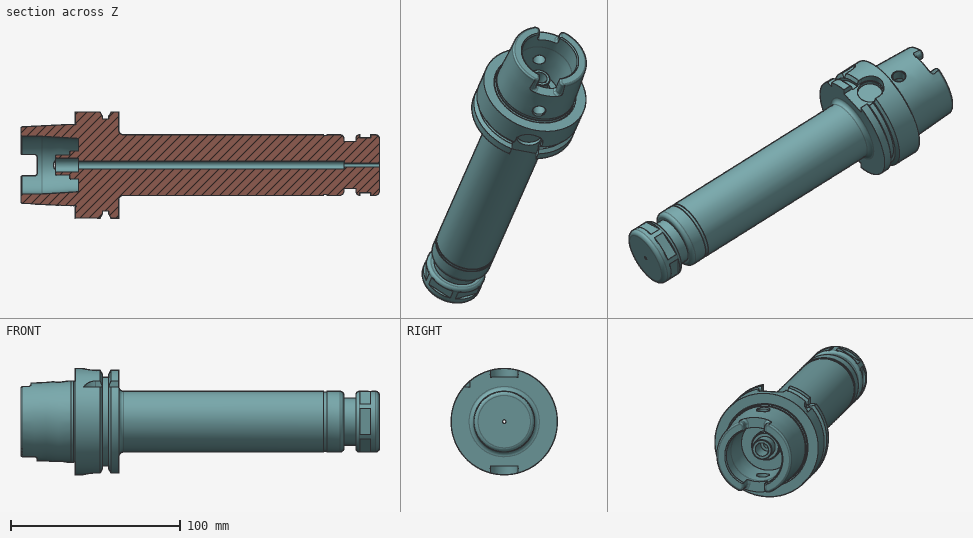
import cadquery as cq
import math


total_length = 212.0

taper_end_x = 29.5
flange_face_x = 32.0
shank_radius = 24.2
taper_ratio = 1 / 10
shank_mouth_radius = 22.7
mouth_rounding = 1.0
neck_relief_x = 31.0
neck_relief_radius = 23.7
face_relief_radius = 25.2
face_relief_depth = 0.6

flange_radius = 63.0 / 2
flange_end_x = 57.9
groove_center_x = 50.0
groove_mouth_width = 6.4
groove_floor_width = 3.5
groove_cone_radius = 29.0
groove_floor_radius = 27.3

shaft_radius = 36.0 / 2
flange_root_fillet = 2.8
band_x = 179.0
band_width = 2.0
band_radius = 17.5
shaft_end_x = 191.0
end_rounding = 2.5

nut_neck_radius = 28.0 / 2
nut_start_x = 198.0
nut_back_rounding = 2.1
nut_flat_count = 6
nut_flat_distance = 16.3
nut_flat_start_x = 200.3
nut_flat_width = 6.4

bore_radius = 17.0
bore_chamfer = 0.75
bore_straight_depth = 12.5
bore_floor_radius = 15.7
bore_floor_x = 34.0

collar_radius = 17.0 / 2
collar_chamfer = 0.53
collar_start_x = 28.8
tube_radius = 12.0 / 2
tube_chamfer = 0.5
tube_tip_x = 20.4
tube_bore_diameter = 8.0

passage_diameter = 4.5
outlet_diameter = 2.0

keyway_width = 12.5
keyway_depth_top = 6.0
keyway_depth_bottom = 9.5
keyway_root_z = 10.5
keyway_lip_z = 20.8
keyway_edge_radius = 2.1
keyway_floor_radius = 1.5

access_x = 23.1
access_diameter = 7.5
access_mouth_diameter = 8.7
access_inner_z = 13.8

slot_width = 16.3
slot_center_x = 44.7
slot_floor_z = 26.3
pocket_diameter = 14.8
pocket_depth = 2.3

notch_floor_z = 20.4
notch_wall_y = -20.4
notch_end_x = 44.0
notch_cutter_radius = 8.5


def revolve_about_x(profile):
    return profile.close().revolve(360, (0, 0, 0), (1, 0, 0))


def bar(x_start, x_end, radius):
    return cq.Workplane("YZ", origin=(x_start, 0, 0)).circle(radius).extrude(x_end - x_start)


def make_flange_and_shank():
    taper_radius = shank_mouth_radius + taper_end_x * taper_ratio / 2
    relief_bottom_radius = (neck_relief_radius + face_relief_radius) / 2
    mouth_half = groove_mouth_width / 2
    floor_half = groove_floor_width / 2
    return revolve_about_x(
        cq.Workplane("XY")
        .moveTo(0, 0)
        .lineTo(0, shank_mouth_radius)
        .lineTo(taper_end_x, taper_radius)
        .lineTo(taper_end_x, shank_radius)
        .lineTo(neck_relief_x, shank_radius)
        .lineTo(flange_face_x, neck_relief_radius)
        .lineTo(flange_face_x + face_relief_depth, relief_bottom_radius)
        .lineTo(flange_face_x, face_relief_radius)
        .lineTo(flange_face_x, flange_radius)
        .lineTo(groove_center_x - mouth_half, flange_radius)
        .lineTo(groove_center_x - floor_half, groove_cone_radius)
        .lineTo(groove_center_x - floor_half, groove_floor_radius)
        .lineTo(groove_center_x + floor_half, groove_floor_radius)
        .lineTo(groove_center_x + floor_half, groove_cone_radius)
        .lineTo(groove_center_x + mouth_half, flange_radius)
        .lineTo(flange_end_x, flange_radius)
        .lineTo(flange_end_x, 0)
    )


def make_shaft():
    root = flange_root_fillet
    shaft = revolve_about_x(
        cq.Workplane("XY")
        .moveTo(flange_end_x, 0)
        .lineTo(flange_end_x, shaft_radius + root)
        .radiusArc((flange_end_x + root, shaft_radius), -root)
        .lineTo(band_x, shaft_radius)
        .lineTo(band_x, band_radius)
        .lineTo(band_x + band_width, band_radius)
        .lineTo(band_x + band_width, shaft_radius)
        .lineTo(shaft_end_x, shaft_radius)
        .lineTo(shaft_end_x, 0)
    )
    return shaft.faces(">X").edges().fillet(end_rounding)


def make_nut():
    nut = bar(nut_start_x, total_length, shaft_radius)
    nut = nut.faces("<X").edges().fillet(nut_back_rounding)
    nut = nut.faces(">X").edges().fillet(end_rounding)
    hexagon_diameter = 2 * nut_flat_distance / math.cos(math.pi / nut_flat_count)
    hexagon = (
        cq.Workplane("YZ", origin=(nut_flat_start_x, 0, 0))
        .transformed(rotate=(0, 0, 180 / nut_flat_count))
        .polygon(nut_flat_count, hexagon_diameter)
        .extrude(nut_flat_width)
    )
    flats = bar(nut_flat_start_x, nut_flat_start_x + nut_flat_width, 2 * shaft_radius).cut(hexagon)
    return nut.cut(flats)


def make_bore():
    return revolve_about_x(
        cq.Workplane("XY")
        .moveTo(0, 0)
        .lineTo(0, bore_radius + bore_chamfer)
        .lineTo(bore_chamfer, bore_radius)
        .lineTo(bore_straight_depth, bore_radius)
        .lineTo(bore_floor_x, bore_floor_radius)
        .lineTo(bore_floor_x, 0)
    )


def make_coolant_tube():
    collar = bar(collar_start_x, bore_floor_x, collar_radius)
    collar = collar.faces("<X").edges().chamfer(collar_chamfer)
    tube = bar(tube_tip_x, bore_floor_x, tube_radius)
    tube = tube.faces("<X").edges().chamfer(tube_chamfer)
    return collar.union(tube)


def make_keyway(side, depth):
    """Open-ended slot in the shank mouth; side is +1 above the axis and -1 below it.

    Its walls curve outwards near the taper, and its floor blends into them.
    """
    half = keyway_width / 2
    edge = keyway_edge_radius
    root_z = side * keyway_root_z
    lip_z = side * keyway_lip_z
    curve_z = lip_z - side * edge
    outer_z = side * flange_radius
    straight_wall_zone = cq.selectors.BoxSelector(
        (0, -half - edge, root_z), (2 * depth, half + edge, lip_z)
    )
    return (
        cq.Workplane("YZ")
        .moveTo(-half, root_z)
        .lineTo(-half, curve_z)
        .radiusArc((-half - edge, lip_z), -side * edge)
        .lineTo(-shank_radius, lip_z)
        .lineTo(-shank_radius, outer_z)
        .lineTo(shank_radius, outer_z)
        .lineTo(shank_radius, lip_z)
        .lineTo(half + edge, lip_z)
        .radiusArc((half, curve_z), -side * edge)
        .lineTo(half, root_z)
        .close()
        .extrude(depth)
        .faces(">X")
        .edges(straight_wall_zone)
        .edges("|Z")
        .fillet(keyway_floor_radius)
    )


def make_access_hole():
    """Countersunk radial hole that stops short of the coolant tube."""
    rim_z = shank_mouth_radius + access_x * taper_ratio / 2
    hole_radius = access_diameter / 2
    flare = access_mouth_diameter / 2 - hole_radius
    return (
        cq.Workplane("XZ")
        .moveTo(0, access_inner_z)
        .lineTo(hole_radius, access_inner_z)
        .lineTo(hole_radius, rim_z - flare)
        .lineTo(hole_radius + 2 * flare, rim_z + flare)
        .lineTo(0, rim_z + flare)
        .close()
        .revolve(360, (0, 0, 0), (0, 1, 0))
        .translate((access_x, 0, 0))
    )


def make_flange_slot():
    slot_height = flange_radius - slot_floor_z
    slot_plane = cq.Workplane("XY", origin=(slot_center_x, 0, slot_floor_z))
    straight_length = flange_end_x - slot_center_x
    slot = (
        slot_plane.circle(slot_width / 2).extrude(slot_height)
        .union(
            slot_plane.center(straight_length / 2, 0)
            .rect(straight_length, slot_width)
            .extrude(slot_height)
        )
    )
    pocket = slot_plane.circle(pocket_diameter / 2).extrude(-pocket_depth)
    return slot.union(pocket)


def make_notch():
    wall_start = (notch_end_x, notch_wall_y)
    center_y = notch_wall_y - notch_cutter_radius
    return (
        cq.Workplane("XY", origin=(0, 0, notch_floor_z))
        .moveTo(*wall_start)
        .lineTo(flange_end_x, notch_wall_y)
        .lineTo(flange_end_x, center_y)
        .lineTo(notch_end_x - notch_cutter_radius, center_y)
        .radiusArc(wall_start, notch_cutter_radius)
        .close()
        .extrude(flange_radius)
    )


body = make_flange_and_shank()
for side, depth in ((1, keyway_depth_top), (-1, keyway_depth_bottom)):
    body = body.cut(make_keyway(side, depth))
body = body.faces("<X").edges().fillet(mouth_rounding)
body = body.cut(make_bore())

for turn in (0, 180):
    for cutter in (make_flange_slot(), make_access_hole()):
        body = body.cut(cutter.rotate((0, 0, 0), (1, 0, 0), turn))
body = body.cut(make_notch())

body = body.union(make_shaft())
body = body.union(bar(shaft_end_x, nut_start_x, nut_neck_radius))
body = body.union(make_nut())
body = body.union(make_coolant_tube())

body = body.cut(bar(tube_tip_x, bore_floor_x, tube_bore_diameter / 2))
body = body.cut(bar(bore_floor_x, shaft_end_x, passage_diameter / 2))
body = body.cut(bar(shaft_end_x, total_length, outlet_diameter / 2))

result = body